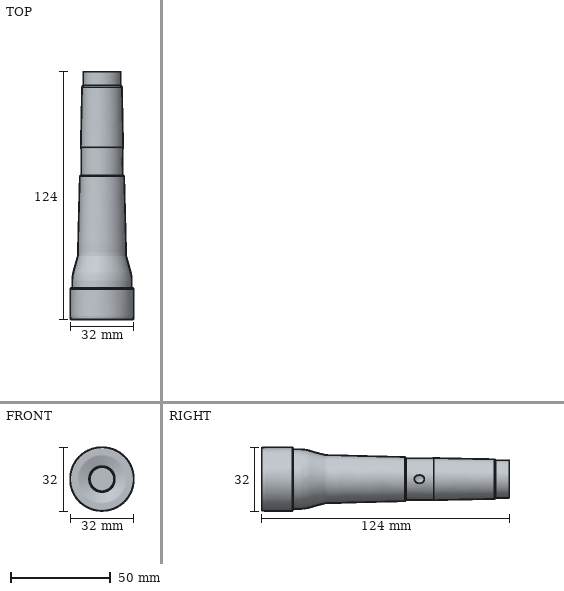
import cadquery as cq

length = 124.0
head_diameter = 32.0
head_length = 15.9
edge_radius = 0.7
rear_chamfer = 0.6

band_front = 1.7
rim_inset = 0.1
recess_diameter = 24.5
recess_inner_diameter = 23.1
recess_lip_depth = 0.1
reflector_diameter = 14.0
reflector_depth = 1.5
seat_diameter = 13.0
seat_depth = 1.7
lens_diameter = 12.0
lens_depth = 3.0

collar_diameter = 30.0
shoulder_diameter = 28.8
throat_diameter = 24.0
rear_grip_diameter = 22.3
neck_diameter = 21.0
tail_body_front_diameter = 21.3
tail_body_rear_diameter = 20.1
tail_diameter = 19.0

collar_end = 19.6
shoulder = 23.7
flare_end = 31.9
throat_front = 33.5
throat_end = 38.0
throat_rise = 0.1
neck_front = 72.3
neck_end = 85.5
tail_front = 117.2
step_run = 0.6
tail_step_run = 0.9
tail_chamfer = 0.5
tail_chamfer_inset = 0.1

dimple_diameter = 5.0
dimple_sphere_diameter = 10.3


def revolve_about_y(profile):
    return profile.close().revolve(360, (0, 0, 0), (0, 1, 0))


def make_head():
    radius = head_diameter / 2
    rim_radius = radius - rim_inset
    profile = (
        cq.Workplane("XY")
        .moveTo(0, head_length)
        .lineTo(radius - rear_chamfer, head_length)
        .lineTo(radius, head_length - rear_chamfer)
        .lineTo(radius, band_front)
        .lineTo(rim_radius, edge_radius)
        .radiusArc((rim_radius - edge_radius, 0), edge_radius)
        .lineTo(recess_diameter / 2, 0)
        .tangentArcPoint((recess_inner_diameter / 2, recess_lip_depth), relative=False)
        .lineTo(reflector_diameter / 2, reflector_depth)
        .lineTo(seat_diameter / 2, seat_depth)
        .lineTo(lens_diameter / 2, lens_depth)
        .lineTo(0, lens_depth)
    )
    return revolve_about_y(profile)


def make_housing():
    profile = (
        cq.Workplane("XY")
        .moveTo(0, head_length)
        .lineTo(collar_diameter / 2, head_length)
        .lineTo(collar_diameter / 2, collar_end)
        .tangentArcPoint((shoulder_diameter / 2, shoulder), relative=False)
        .lineTo(throat_diameter / 2 + throat_rise, flare_end)
        .lineTo(throat_diameter / 2, throat_front)
        .lineTo(throat_diameter / 2, throat_end)
        .lineTo(rear_grip_diameter / 2, neck_front - step_run)
        .lineTo(neck_diameter / 2, neck_front)
        .lineTo(neck_diameter / 2, neck_end)
        .lineTo(tail_body_front_diameter / 2, neck_end + step_run)
        .lineTo(tail_body_rear_diameter / 2, tail_front - tail_step_run)
        .lineTo(tail_diameter / 2, tail_front)
        .lineTo(tail_diameter / 2, length - tail_chamfer)
        .lineTo(tail_diameter / 2 - tail_chamfer_inset, length)
        .lineTo(0, length)
    )
    return revolve_about_y(profile).cut(make_dimple())


def make_dimple():
    sphere_radius = dimple_sphere_diameter / 2
    centre_offset = (sphere_radius**2 - (dimple_diameter / 2) ** 2) ** 0.5
    centre_x = neck_diameter / 2 + centre_offset
    centre_y = (neck_front + neck_end) / 2
    return cq.Workplane("XY").sphere(sphere_radius).translate((centre_x, centre_y, 0))


head = make_head()
housing = make_housing()
result = cq.Compound.makeCompound([head.val(), housing.val()])